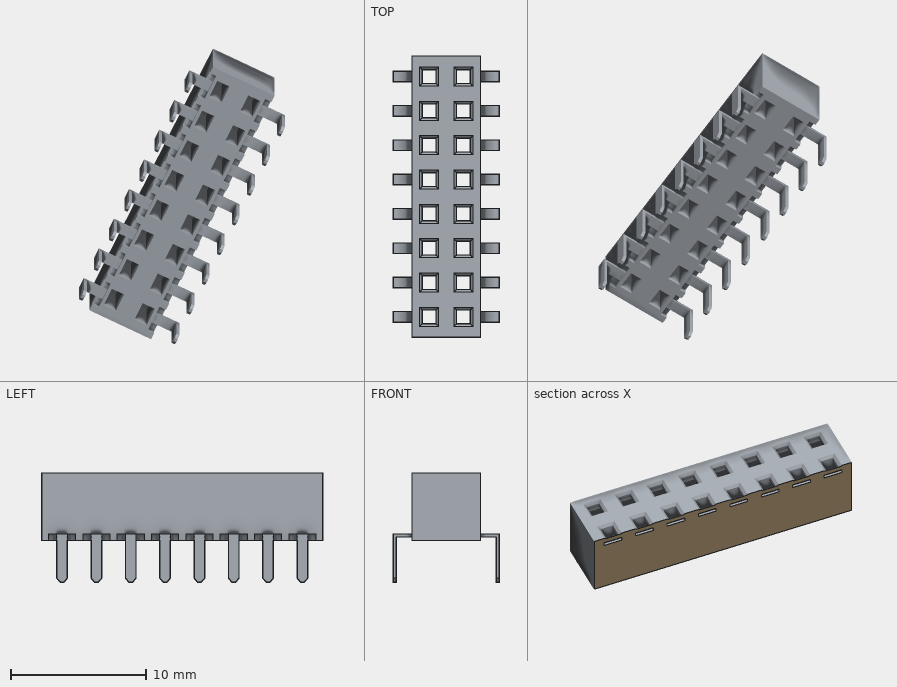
import cadquery as cq

ROWS = 8
PITCH = 2.54
SIDES = (-1, 1)
ROW_POSITIONS = [(row - (ROWS - 1) / 2) * PITCH for row in range(ROWS)]

END_MARGIN = 0.25
HOUSING_WIDTH = 2 * PITCH
HOUSING_LENGTH = ROWS * PITCH + 2 * END_MARGIN
HOUSING_HEIGHT = 5.0

SOCKET_SIZE = 1.0
LEAD_IN = 0.2
MOUTH_SIZE = SOCKET_SIZE + 2 * LEAD_IN
THROAT_DEPTH = 0.5
CAVITY_LENGTH = 1.4
CAVITY_TOP = HOUSING_HEIGHT - THROAT_DEPTH

METAL = 0.25
BLADE_TOP_DEPTH = 0.73
BLADE_TOP = HOUSING_HEIGHT - BLADE_TOP_DEPTH
BLADE_INNER_X = (PITCH + SOCKET_SIZE) / 2
BLADE_OUTER_X = BLADE_INNER_X + METAL

NOTCH_LENGTH = 2.0
NOTCH_HEIGHT = 0.5
NOTCH_DEPTH = HOUSING_WIDTH / 2 - BLADE_OUTER_X

TAIL_SPAN = 7.87
TAIL_WIDTH = 0.8
TOTAL_HEIGHT = 8.1
TAIL_BOTTOM = HOUSING_HEIGHT - TOTAL_HEIGHT
TAIL_TOP = NOTCH_HEIGHT
TIP_HEIGHT = 0.32
TIP_INSET = 0.27


def block(x_range, y_range, z_range):
    """Box between two limits on each axis, the limits in either order."""
    ranges = (x_range, y_range, z_range)
    sizes = [abs(high - low) for low, high in ranges]
    centre = tuple((low + high) / 2 for low, high in ranges)
    return cq.Workplane("XY").box(*sizes).translate(centre)


def centred(middle, length):
    """Limits of a length centred on a position."""
    return (middle - length / 2, middle + length / 2)


def socket_cut(side, y):
    """Space inside one socket, open through the housing from top to bottom."""
    x = side * PITCH / 2
    mouth = (
        cq.Workplane("XY", origin=(x, y, HOUSING_HEIGHT))
        .rect(MOUTH_SIZE, MOUTH_SIZE)
        .workplane(offset=-LEAD_IN)
        .rect(SOCKET_SIZE, SOCKET_SIZE)
        .loft(ruled=True)
    )
    throat = block(
        centred(x, SOCKET_SIZE),
        centred(y, SOCKET_SIZE),
        (CAVITY_TOP, HOUSING_HEIGHT - LEAD_IN),
    )
    cavity = block(centred(x, SOCKET_SIZE), centred(y, CAVITY_LENGTH), (0, CAVITY_TOP))
    blade_gap = block(
        (side * BLADE_INNER_X, side * BLADE_OUTER_X),
        centred(y, CAVITY_LENGTH),
        (BLADE_TOP, CAVITY_TOP),
    )
    return mouth.union(throat).union(cavity).union(blade_gap)


def notch_cut(side, y):
    """Rectangular notch in the foot of a long side wall."""
    wall_x = side * HOUSING_WIDTH / 2
    return block(
        (wall_x, wall_x - side * NOTCH_DEPTH),
        centred(y, NOTCH_LENGTH),
        (0, NOTCH_HEIGHT),
    )


def tail(side, y):
    """Flat tail running outward from the blade, then down to a tapered tip."""
    outer_x = side * TAIL_SPAN / 2
    shank = block(
        (side * BLADE_OUTER_X, outer_x),
        centred(y, TAIL_WIDTH),
        (TAIL_TOP - METAL, TAIL_TOP),
    )
    half_width = TAIL_WIDTH / 2
    half_tip = half_width - TIP_INSET
    tip_start = TAIL_BOTTOM + TIP_HEIGHT
    leg = (
        cq.Workplane("YZ", origin=(outer_x, y, 0))
        .moveTo(-half_width, TAIL_TOP)
        .lineTo(half_width, TAIL_TOP)
        .lineTo(half_width, tip_start)
        .lineTo(half_tip, TAIL_BOTTOM)
        .lineTo(-half_tip, TAIL_BOTTOM)
        .lineTo(-half_width, tip_start)
        .close()
        .extrude(-side * METAL)
    )
    return shank.union(leg)


housing = block(
    centred(0, HOUSING_WIDTH),
    centred(0, HOUSING_LENGTH),
    (0, HOUSING_HEIGHT),
)

result = housing
for side in SIDES:
    for y in ROW_POSITIONS:
        result = result.cut(socket_cut(side, y)).cut(notch_cut(side, y))
        result = result.union(tail(side, y))